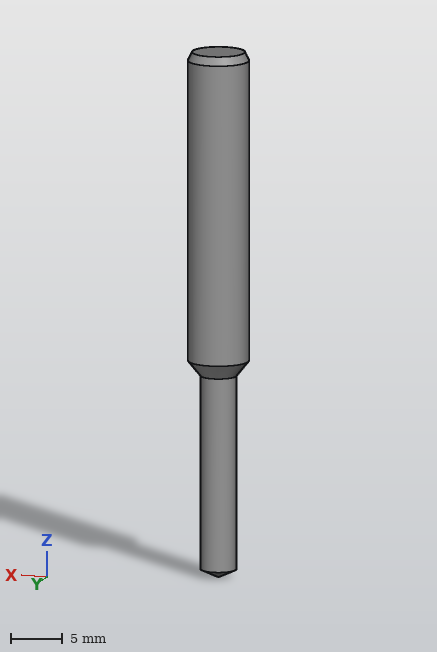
import cadquery as cq
import math

total_length = 52.0

cutter_radius = 1.75
point_angle = 130.0
point_height = cutter_radius / math.tan(math.radians(point_angle / 2))
cutter_length = 19.95

shank_diameter = 6.0
shank_radius = shank_diameter / 2
taper_height = 1.5
top_chamfer_width = 0.4
top_chamfer_height = 0.85


def revolve_profile(points):
    """Revolve a closed (radius, height) outline about the Z axis."""
    return cq.Workplane("XZ").polyline(points).close().revolve(360, (0, 0, 0), (0, 1, 0))


def make_cutter():
    return revolve_profile([
        (0, 0),
        (cutter_radius, point_height),
        (cutter_radius, cutter_length),
        (0, cutter_length),
    ])


def make_shank():
    return revolve_profile([
        (0, cutter_length),
        (cutter_radius, cutter_length),
        (shank_radius, cutter_length + taper_height),
        (shank_radius, total_length - top_chamfer_height),
        (shank_radius - top_chamfer_width, total_length),
        (0, total_length),
    ])


cutter = make_cutter()
shank = make_shank()

result = cq.Compound.makeCompound([cutter.val(), shank.val()])